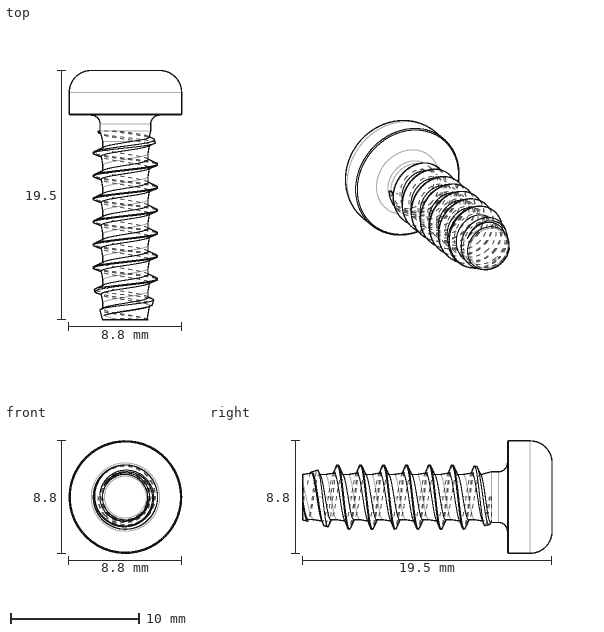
import cadquery as cq


overall_length = 19.49
head_height = 3.5
shank_length = overall_length - head_height
head_radius = 4.4
head_round = 1.73
head_edge_chamfer = 0.1
neck_radius = 1.99
neck_fillet = 0.68
neck_end = -1.25
core_radius = 1.77
core_start = -2.05
tip_radius = 1.73
tip_taper_start = -15.1
tip_dent_radius = 1.64
tip_dent_depth = 0.12

pitch = 1.8
turns = 8.5
first_crest = -2.05
crest_radius = 2.51
crest_width = 0.08
thread_embed = 0.05
head_flank_run = 0.37
tip_flank_run = 0.27
tip_flank_foot_radius = 1.9
ramp_run = 0.95
lead_in_radius = 2.12
full_thread_start = -2.92
envelope_clearance = 0.02
runout_start = -13.25
runout_tip_radius = 1.8


def make_body():
    """Revolve the pan head, filleted neck and core."""
    top_flat_radius = head_radius - head_round
    diagonal = head_round * 0.5**0.5
    round_middle = (top_flat_radius + diagonal, head_height - head_round + diagonal)
    fillet_diagonal = neck_fillet * (1 - 0.5**0.5)
    fillet_middle = (neck_radius + fillet_diagonal, -fillet_diagonal)
    return (
        cq.Workplane("XZ")
        .moveTo(0, head_height)
        .lineTo(top_flat_radius, head_height)
        .threePointArc(round_middle, (head_radius, head_height - head_round))
        .lineTo(head_radius, head_edge_chamfer)
        .lineTo(head_radius - head_edge_chamfer, 0)
        .lineTo(neck_radius + neck_fillet, 0)
        .threePointArc(fillet_middle, (neck_radius, -neck_fillet))
        .lineTo(neck_radius, neck_end)
        .lineTo(core_radius, core_start)
        .lineTo(core_radius, tip_taper_start)
        .lineTo(tip_radius, -shank_length)
        .lineTo(0, -shank_length)
        .close()
        .revolve(360, (0, 0, 0), (0, 1, 0))
    )


def make_thread():
    """Sweep the ridge with its sloped root, then trim it to the thread envelope."""
    start = first_crest - (turns - 0.5) * pitch
    path = cq.Wire.makeHelix(pitch, turns * pitch, core_radius, center=cq.Vector(0, 0, start))
    inner_radius = core_radius - thread_embed
    head_flank_slope = (head_flank_run - crest_width / 2) / (crest_radius - core_radius)
    head_flank_sink = thread_embed * head_flank_slope
    ramp_slope = (ramp_run - tip_flank_run) / (tip_flank_foot_radius - core_radius)
    ramp_sink = thread_embed * ramp_slope
    ridge = (
        cq.Workplane("XZ")
        .polyline([
            (inner_radius, start + head_flank_run + head_flank_sink),
            (crest_radius, start + crest_width / 2),
            (crest_radius, start - crest_width / 2),
            (tip_flank_foot_radius, start - tip_flank_run),
            (inner_radius, start - ramp_run - ramp_sink),
        ])
        .close()
        .sweep(cq.Workplane(path), isFrenet=True)
    )
    envelope_radius = crest_radius + envelope_clearance
    envelope = (
        cq.Workplane("XZ")
        .polyline([
            (0, neck_end),
            (lead_in_radius, neck_end),
            (envelope_radius, full_thread_start),
            (envelope_radius, runout_start),
            (runout_tip_radius, -shank_length),
            (0, -shank_length),
        ])
        .close()
        .revolve(360, (0, 0, 0), (0, 1, 0))
    )
    return ridge.intersect(envelope)


def make_tip_dent():
    """Shallow cone sunk into the tip face inside a narrow flat rim."""
    return cq.Workplane(
        cq.Solid.makeCone(tip_dent_radius, 0, tip_dent_depth, pnt=cq.Vector(0, 0, -shank_length))
    )


screw = make_body().union(make_thread()).cut(make_tip_dent())
result = screw.rotate((0, 0, 0), (1, 0, 0), -90)